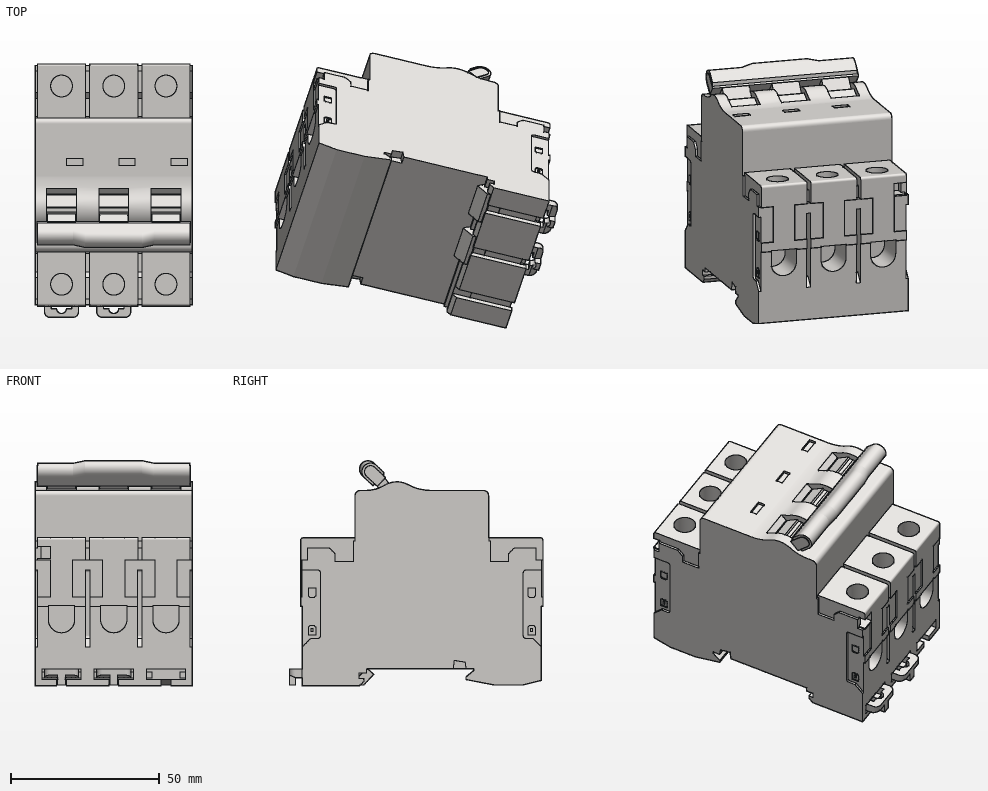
import cadquery as cq
import math


width = 52.8
pitch = 17.5
pole_centers = [-pitch, 0, pitch]
base_half = 40.2
cover_half = 40.7
tower_half = 22.5
tower_top = 65.6
cover_top = 49.7
cover_bottom = 26.6
cover_width = 16.2
skin = (width - 2 * pitch - cover_width) / 2
rail_top = 5.7
foot_front = -18.55


def prism(points, x_center, x_length):
    """Extrude a closed (y, z) outline along X, centred on x_center."""
    return (cq.Workplane("YZ", origin=(x_center - x_length / 2, 0, 0))
            .polyline(points).close().extrude(x_length))


def block(x0, x1, y0, y1, z0, z1):
    return cq.Workplane("XY").box(x1 - x0, y1 - y0, z1 - z0, centered=False).translate((x0, y0, z0))


def front_and_back(solid):
    return solid.union(solid.mirror("XZ"))


def left_and_right(solid):
    return solid.union(solid.mirror("YZ"))


hump_top = 68.5
hump_y = -8.3
hump_back = 2.9
hump_front = -18.7
hump_radius = 7.75
tower_round = 1.9
seat_z = 46.3
notch_z = 42.3
notch_y = 38.3
step_z = 41.8
step_y = 29.1
bevel = 1.95
ledge_y = 23.0
ledge_z = 48.7


def hump_inflection(end_y):
    """Point where the hump crown blends into the concave foot that ends at end_y."""
    run = end_y - hump_y
    rise = hump_top - tower_top
    radius_sum = (run ** 2 + rise ** 2) / (2 * rise)
    share = hump_radius / radius_sum
    return (hump_y + share * run, hump_top - share * rise)


def make_housing():
    shelf = [(base_half, notch_z), (notch_y, notch_z), (notch_y, seat_z), (step_y + bevel, seat_z),
             (step_y, seat_z - bevel), (step_y, step_z), (ledge_y, step_z),
             (ledge_y, ledge_z), (tower_half, ledge_z)]
    front_shelf = [(-y, z) for y, z in reversed(shelf)]
    front_foot = [(-base_half, 0), (-20.85, 0), (-19.5, 1.45), (-19.5, 2.5), (-21.0, 2.5), (-21.0, 4.25),
                  (foot_front, 4.25), (foot_front, rail_top)]
    back_foot = [(17.4, rail_top), (17.4, 5.1), (14.8, 3.0), (14.8, 2.0), (24.2, 0.25), (33.95, 0.25),
                 (base_half, 1.8)]
    outline = cq.Workplane("YZ", origin=(-width / 2, 0, 0)).moveTo(*shelf[0])
    for point in shelf[1:] + [(tower_half, tower_top), (hump_back, tower_top)]:
        outline = outline.lineTo(*point)
    outline = (outline.tangentArcPoint(hump_inflection(hump_back), relative=False)
               .tangentArcPoint((hump_y, hump_top), relative=False)
               .tangentArcPoint(hump_inflection(hump_front), relative=False)
               .tangentArcPoint((hump_front, tower_top), relative=False)
               .lineTo(-tower_half, tower_top))
    for point in front_shelf + front_foot + back_foot:
        outline = outline.lineTo(*point)
    housing = outline.close().extrude(width)
    for corner_y in (-tower_half, tower_half):
        corner = cq.selectors.NearestToPointSelector((0, corner_y, tower_top))
        housing = housing.edges(corner).fillet(tower_round)
    return housing


def make_covers():
    cover_edge = 0.85
    overlap = 0.85
    inner_y = tower_half - overlap
    covers = cq.Workplane("XY")
    for x in pole_centers:
        cover = block(x - cover_width / 2, x + cover_width / 2, -cover_half, -inner_y,
                      cover_bottom, cover_top)
        covers = covers.add(cover.faces("<Y").edges(">Z").fillet(cover_edge))
    return front_and_back(covers.combine())


def cut_label_recesses(body):
    """Shallow windows in the cover faces, straddling each seam and both outer sides."""
    half_width = 5.0
    recess_bottom = 29.9
    recess_top = 42.2
    seam_positions = [x - pitch / 2 for x in pole_centers] + [pole_centers[-1] + pitch / 2]
    for x in seam_positions:
        recess = block(x - half_width, x + half_width, -cover_half, -base_half, recess_bottom, recess_top)
        body = body.cut(front_and_back(recess))
    return body


def cut_corner_pockets(body):
    """Pry pockets at the -X corners of the covers, undercut behind a short side wall."""
    pocket_bottom = 42.7
    pocket_top = 46.7
    pocket_inner_x = -21.2
    undercut_x = -24.4
    undercut_y = 35.7
    pocket = block(-width / 2, pocket_inner_x, -cover_half, -notch_y, pocket_bottom, pocket_top)
    undercut = block(undercut_x, pocket_inner_x, -notch_y, -undercut_y, pocket_bottom, pocket_top)
    return body.cut(front_and_back(pocket.union(undercut)))


def cut_foot_recesses(body):
    """Slanted recess above the fixed rail hook, open to each side."""
    recess_depth = 2.55
    outline = [(14.9, rail_top), (14.55, 7.9), (10.9, 8.5), (10.55, rail_top)]
    return body.cut(left_and_right(prism(outline, (width - recess_depth) / 2, recess_depth)))


seam_inner_y = 34.0
seam_top = 38.8
seam_bottom = 15.9
seam_toe = 13.0
seam_round = 0.85


def cut_seams(body):
    seam_width = 1.45
    slope_y = base_half - (seam_bottom - seam_toe)
    seam = prism([(-cover_half, seam_top), (-seam_inner_y, seam_top), (-seam_inner_y, seam_bottom),
                  (-slope_y, seam_bottom), (-base_half, seam_toe), (-cover_half, seam_toe)], 0, seam_width)
    seam = seam.faces(">Y").edges("|X").fillet(seam_round)
    seam = front_and_back(seam)
    for x in (-pitch / 2, pitch / 2):
        body = body.cut(seam.translate((x, 0, 0)))
    side_seam_x = width / 2 - skin + seam_width / 2
    return body.cut(left_and_right(seam.translate((side_seam_x, 0, 0))))


def cut_side_sockets(body):
    """Two small sockets in each side seam; the lower one keeps a tiny pin."""
    socket_y = -36.85
    half_width = 1.3
    corner = 0.5
    depth = 0.4
    x = width / 2 - skin - depth / 2

    def socket(flat_z, cut_z):
        """Rectangle from flat_z to cut_z with both corners cut off at cut_z."""
        toward = math.copysign(corner, flat_z - cut_z)
        return prism([(socket_y - half_width, flat_z), (socket_y + half_width, flat_z),
                      (socket_y + half_width, cut_z + toward), (socket_y + half_width - corner, cut_z),
                      (socket_y - half_width + corner, cut_z), (socket_y - half_width, cut_z + toward)],
                     x, depth)

    pin_width = 0.7
    pin_height = 1.0
    pin_z = 18.7
    pin = cq.Workplane("XY").box(depth, pin_width, pin_height).translate((x, socket_y, pin_z))
    upper_socket = socket(32.8, 29.7)
    lower_socket = socket(17.0, 20.2)
    sockets = upper_socket.union(lower_socket).cut(pin)
    return body.cut(left_and_right(front_and_back(sockets)))


def cut_terminals(body):
    screw_diameter = 7.3
    screw_y = -33.3
    screw_depth = 10.2
    wire_width = 8.85
    wire_top = 27.0
    wire_bottom = 17.8
    wire_depth = 12.8
    center_z = wire_bottom + wire_width / 2
    for x in pole_centers:
        screw = (cq.Workplane("XY", origin=(x, screw_y, cover_top - screw_depth))
                 .circle(screw_diameter / 2).extrude(screw_depth))
        wire = (cq.Workplane("XZ", origin=(x, -cover_half + wire_depth, 0))
                .moveTo(-wire_width / 2, wire_top).lineTo(-wire_width / 2, center_z)
                .threePointArc((0, wire_bottom), (wire_width / 2, center_z))
                .lineTo(wire_width / 2, wire_top).close().extrude(wire_depth))
        body = body.cut(front_and_back(screw)).cut(front_and_back(wire))
    return body


def cut_marker_slots(body):
    slot_offset = 4.4
    slot_y = 7.75
    slot_length = 5.45
    slot_width = 2.3
    slot_depth = 0.85
    for x in pole_centers:
        slot = (cq.Workplane("XY", origin=(x + slot_offset, slot_y, tower_top - slot_depth))
                .rect(slot_length, slot_width).extrude(slot_depth))
        body = body.cut(slot)
    return body


def cut_lever_windows(body):
    """Openings in the hump whose stepped floor is the top of each lever hub."""
    window_width = 10.0
    window_back = -1.1
    window_front = -15.3
    hub_floor = [(-3.0, 64.5), (-3.3, 64.5), (-7.3, 66.9), (-7.75, 66.3), (-9.0, 66.3), (-10.4, 65.5)]
    window = [(window_back, 66.1), *hub_floor, (window_front, 65.1), (window_front, hump_top),
              (window_back, hump_top)]
    for x in pole_centers:
        body = body.cut(prism(window, x, window_width))
    return body


overall_height = 75.6
bar_tilt = 46.5
core_radius = 2.0
bar_radius = 2.9
grip_rise = 1.2
bar_half = 25.8
grip_half = 9.6
grip_taper = 3.9
bar_y = -17.2
bar_z = overall_height - bar_radius - grip_rise * math.cos(math.radians(bar_tilt))


def lever_profile(x, radius, lower_points, rise=0):
    """Rounded outline at x: its arc is centred the given rise above the bar axis."""
    profile = cq.Workplane("YZ", origin=(x, 0, 0)).moveTo(*lower_points[0])
    for point in lower_points[1:]:
        profile = profile.lineTo(*point)
    return profile.lineTo(radius, rise).threePointArc((0, radius + rise), (-radius, rise)).close()


def make_handle():
    end_step = 0.25
    core_drop = 5.0
    neck_drop = 9.4
    neck_width = 9.5
    lip_drop = 3.8
    bar_lower = [(-bar_radius, -lip_drop), (core_radius, -4.25), (bar_radius, -3.3)]
    core_lower = [(-core_radius, -core_drop), (core_radius, -core_drop)]
    neck_lower = [(-core_radius, -neck_drop), (1.0, -neck_drop), (1.8, -core_drop), (core_radius, -core_drop)]

    handle = lever_profile(-bar_half, core_radius, core_lower).extrude(2 * bar_half)
    shell_half = bar_half - end_step
    handle = handle.union(lever_profile(-shell_half, bar_radius, bar_lower).extrude(2 * shell_half))
    handle = handle.union(lever_profile(-grip_half, bar_radius, bar_lower, grip_rise).extrude(2 * grip_half))
    flat_end = lever_profile(grip_half + grip_taper, bar_radius, bar_lower).val()
    raised_end = lever_profile(grip_half, bar_radius, bar_lower, grip_rise).val()
    taper = cq.Workplane(cq.Solid.makeLoft([raised_end, flat_end], True))
    handle = handle.union(left_and_right(taper))
    for x in pole_centers:
        handle = handle.union(lever_profile(x - neck_width / 2, core_radius, neck_lower).extrude(neck_width))
    return handle.rotate((0, 0, 0), (1, 0, 0), bar_tilt).translate((0, bar_y, bar_z))


channel_width = 13.1
channel_floor = 2.0
neck_channel_width = 3.3
latch_bottom = 2.6
latch_front = -44.4


def cut_latch_channels(body):
    channel_end = -25.5
    side_pocket_end = -23.0
    side_pocket_width = 1.8
    side_pocket_top = 4.7
    for x in pole_centers:
        x0 = x - channel_width / 2
        x1 = x + channel_width / 2
        body = body.cut(block(x0, x1, -base_half, channel_end, channel_floor, rail_top))
        for side_x in (x0, x1 - side_pocket_width):
            body = body.cut(block(side_x, side_x + side_pocket_width, channel_end, side_pocket_end,
                                  latch_bottom, side_pocket_top))
        body = body.cut(block(x - neck_channel_width / 2, x + neck_channel_width / 2,
                              -base_half, foot_front, 0, channel_floor))
    return body


def make_latch(x):
    """Sliding plate with a pull eye and stem in front, and a rail hook at its far end."""
    latch_width = 11.5
    corner = 1.95
    latch_end = -25.5
    stem_width = 2.6
    stem_depth = 2.2
    stem_bottom = 0.25
    lip_rise = 0.9
    eye_radius = 1.6
    eye_y = -41.45
    mouth_width = 6.8
    mouth_end = -38.3
    plate = block(x - latch_width / 2, x + latch_width / 2, latch_front, latch_end, latch_bottom, rail_top)
    plate = plate.edges("|Z and <Y").fillet(corner)
    lip_cut = prism([(latch_front + stem_depth, latch_bottom), (latch_front, latch_bottom + lip_rise),
                     (latch_front, latch_bottom)], x, latch_width)
    stem = block(x - stem_width / 2, x + stem_width / 2, latch_front, latch_front + stem_depth,
                 stem_bottom, rail_top)
    eye = cq.Workplane("XY", origin=(x, eye_y, 0)).circle(eye_radius).extrude(rail_top)
    mouth = block(x - mouth_width / 2, x + mouth_width / 2, eye_y, mouth_end, 0, rail_top)
    hook = prism([(foot_front, rail_top), (-17.8, 5.4), (-16.1, 3.8), (-19.5, stem_bottom),
                  (-20.85, stem_bottom), (-21.7, latch_bottom)], x, latch_width)
    return plate.cut(lip_cut).union(stem).cut(eye).cut(mouth).union(hook)


result = make_housing().union(make_covers())
result = cut_label_recesses(result)
result = cut_corner_pockets(result)
result = cut_foot_recesses(result)
result = cut_seams(result)
result = cut_side_sockets(result)
result = cut_terminals(result)
result = cut_marker_slots(result)
result = cut_lever_windows(result)
result = cut_latch_channels(result)
result = result.union(make_handle())
for latch_x in pole_centers[:2]:
    result = result.union(make_latch(latch_x))